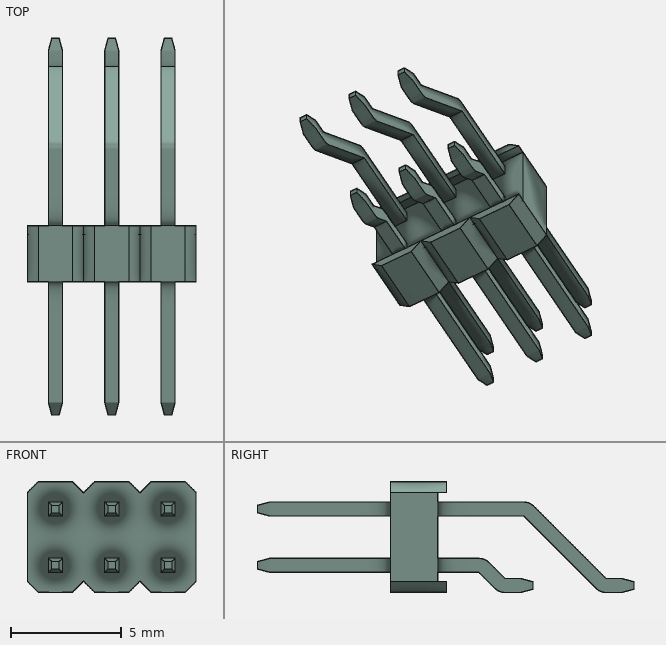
import cadquery as cq
import math

pitch = 2.54
columns = 3
body_length = columns * pitch
body_depth = 2.54
body_height = 5.0
corner_chamfer = 0.5
recess_depth = 0.4
front_y = -body_depth / 2
back_y = body_depth / 2

pin_width = 0.64
front_length = 6.0
upper_pin_length = 17.0
tip_length = 0.56
tip_width = 0.34
pin_drop = 0.01
upper_pin_z = body_height / 2 + pitch / 2 - pin_drop
lower_pin_z = body_height / 2 - pitch / 2 - pin_drop
pin_front_y = front_y - front_length
tail_z = pin_width / 2 - pin_drop
upper_tail_y = pin_front_y + upper_pin_length
row_spacing = 4.56
lower_tail_y = upper_tail_y - row_spacing
tail_length = 1.27
bend_angle = math.radians(45)
bend_radius = pin_width

column_x = [(i - (columns - 1) / 2) * pitch for i in range(columns)]


def make_housing():
    """Row of chamfered cells, with a recess across the back face."""
    body = None
    for x in column_x:
        cell = (
            cq.Workplane("XY")
            .box(pitch, body_depth, body_height, centered=(True, True, False))
            .edges("|Y")
            .chamfer(corner_chamfer)
            .translate((x, 0, 0))
        )
        body = cell if body is None else body.union(cell)
    recess = cq.Workplane("XY").box(
        body_length, recess_depth, body_height - 2 * corner_chamfer
    ).translate((0, back_y - recess_depth / 2, body_height / 2))
    return body.cut(recess)


def make_tip(base_y, end_y, z):
    """Square taper from the full pin at base_y down to the blunt end at end_y."""
    direction = 1 if end_y > base_y else -1
    plane = cq.Plane(origin=(0, base_y, z), xDir=(1, 0, 0), normal=(0, direction, 0))
    return (
        cq.Workplane(plane)
        .rect(pin_width, pin_width)
        .workplane(offset=tip_length)
        .rect(tip_width, tip_width)
        .loft(ruled=True)
    )


def make_pin(pin_z, tail_end_y):
    """Cranked pin at x = 0: sharp inside each bend, rounded outside."""
    half = pin_width / 2
    front_base_y = pin_front_y + tip_length
    tail_base_y = tail_end_y - tip_length

    low_y = tail_end_y - tail_length
    low_z = tail_z + half
    high_z = pin_z - half
    rise = high_z - low_z + bend_radius * math.cos(bend_angle)
    high_y = low_y - (rise / math.tan(bend_angle) + bend_radius * math.sin(bend_angle))

    def on_bend(center_y, center_z, angle, side):
        """Point on an outer bend; side is 1 above the corner and -1 below it."""
        return (
            center_y + side * bend_radius * math.sin(angle),
            center_z + side * bend_radius * math.cos(angle),
        )

    wire = (
        cq.Workplane("YZ")
        .moveTo(front_base_y, high_z)
        .lineTo(high_y, high_z)
        .lineTo(*on_bend(low_y, low_z, bend_angle, -1))
        .threePointArc(
            on_bend(low_y, low_z, bend_angle / 2, -1),
            on_bend(low_y, low_z, 0, -1),
        )
        .lineTo(tail_base_y, tail_z - half)
        .lineTo(tail_base_y, low_z)
        .lineTo(low_y, low_z)
        .lineTo(*on_bend(high_y, high_z, bend_angle, 1))
        .threePointArc(
            on_bend(high_y, high_z, bend_angle / 2, 1),
            on_bend(high_y, high_z, 0, 1),
        )
        .lineTo(front_base_y, pin_z + half)
        .close()
        .extrude(half, both=True)
    )
    front_tip = make_tip(front_base_y, pin_front_y, pin_z)
    tail_tip = make_tip(tail_base_y, tail_end_y, tail_z)
    return wire.union(front_tip).union(tail_tip)


result = make_housing()
for row_z, row_tail_y in ((upper_pin_z, upper_tail_y), (lower_pin_z, lower_tail_y)):
    pin = make_pin(row_z, row_tail_y)
    for x in column_x:
        result = result.union(pin.translate((x, 0, 0)))